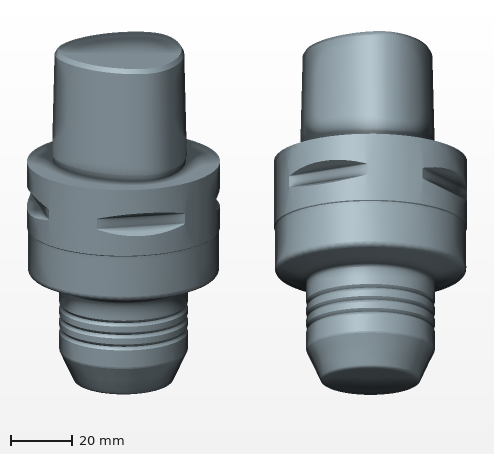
import cadquery as cq
import math

TOTAL_HEIGHT = 113.0
FLANGE_TOP = 75.0
FLANGE_BOTTOM = 52.2

FLANGE_RADIUS = 63.0 / 2
FLANGE_CHAMFER = 0.3
BODY_RADIUS = 62.5 / 2
SHOULDER_ANGLE = math.radians(20)
SHOULDER_FOOT = 33.6
SHOULDER_FILLET = 1.8

NECK_RADIUS = 42.0 / 2
NECK_FILLET = 0.9
NOSE_TOP = 10.7
NOSE_END_RADIUS = 16.0
NOSE_TOP_FILLET = 1.4
NOSE_END_FILLET = 1.5
GROOVE_COUNT = 3
GROOVE_TOP_CENTER = 26.0
GROOVE_PITCH = 4.1
GROOVE_WIDTH = 2.0
GROOVE_DEPTH = 0.8

NOTCH_COUNT = 4
NOTCH_START_ANGLE = 45
NOTCH_CENTER = 63.0
NOTCH_FLOOR_DISTANCE = 27.9
NOTCH_FLOOR_WIDTH = 3.6
NOTCH_FILLET = 0.5
NOTCH_WALL_ANGLE = math.radians(30)

SHANK_BASE_RADIUS = 22.0
SHANK_ECCENTRICITY = 1.4
SHANK_TAPER = 1 / 20
SHANK_LOBES = 3
RELIEF_HEIGHT = 2.0
RELIEF_DEPTH = 0.3
TIP_CHAMFER_WIDTH = 0.9
TIP_CHAMFER_HEIGHT = 1.5
CURVE_POINTS = 48

RIM_TOLERANCE = 0.1


def turned_body():
    """Flange, body, neck and nose, revolved about Z."""
    shoulder_drop = (BODY_RADIUS - NECK_RADIUS) * math.tan(SHOULDER_ANGLE)
    shoulder_rim = SHOULDER_FOOT + shoulder_drop
    body = (
        cq.Workplane("XZ")
        .moveTo(0, 0)
        .lineTo(NOSE_END_RADIUS, 0)
        .lineTo(NECK_RADIUS, NOSE_TOP)
        .lineTo(NECK_RADIUS, SHOULDER_FOOT)
        .lineTo(BODY_RADIUS, shoulder_rim)
        .lineTo(BODY_RADIUS, FLANGE_BOTTOM)
        .lineTo(FLANGE_RADIUS - FLANGE_CHAMFER, FLANGE_BOTTOM)
        .lineTo(FLANGE_RADIUS, FLANGE_BOTTOM + FLANGE_CHAMFER)
        .lineTo(FLANGE_RADIUS, FLANGE_TOP)
        .lineTo(0, FLANGE_TOP)
        .close()
        .revolve(360, (0, 0, 0), (0, 1, 0))
    )
    rounded_rims = (
        (NECK_RADIUS, NOSE_TOP, NOSE_TOP_FILLET),
        (NOSE_END_RADIUS, 0, NOSE_END_FILLET),
        (BODY_RADIUS, shoulder_rim, SHOULDER_FILLET),
        (NECK_RADIUS, SHOULDER_FOOT, NECK_FILLET),
    )
    for radius, height, fillet in rounded_rims:
        rim = cq.selectors.BoxSelector(
            (-radius, -radius, height - RIM_TOLERANCE),
            (radius, radius, height + RIM_TOLERANCE),
        )
        body = body.edges(rim).fillet(fillet)
    return body


def neck_groove(center):
    """V-shaped ring that cuts a groove into the neck at the given height."""
    half_width = GROOVE_WIDTH / 2
    return (
        cq.Workplane("XZ")
        .moveTo(NECK_RADIUS, center + half_width)
        .lineTo(NECK_RADIUS - GROOVE_DEPTH, center)
        .lineTo(NECK_RADIUS, center - half_width)
        .lineTo(BODY_RADIUS, center - half_width)
        .lineTo(BODY_RADIUS, center + half_width)
        .close()
        .revolve(360, (0, 0, 0), (0, 1, 0))
    )


def gripper_notch(angle):
    """Flat-floored notch with sloped walls, running tangent to the flange."""
    floor_half = NOTCH_FLOOR_WIDTH / 2
    depth = FLANGE_RADIUS - NOTCH_FLOOR_DISTANCE
    mouth_half = floor_half + depth * math.tan(NOTCH_WALL_ANGLE)
    return (
        cq.Workplane("XZ")
        .moveTo(NOTCH_FLOOR_DISTANCE, NOTCH_CENTER - floor_half)
        .lineTo(FLANGE_RADIUS, NOTCH_CENTER - mouth_half)
        .lineTo(FLANGE_RADIUS, NOTCH_CENTER + mouth_half)
        .lineTo(NOTCH_FLOOR_DISTANCE, NOTCH_CENTER + floor_half)
        .close()
        .extrude(FLANGE_RADIUS, both=True)
        .faces("<X")
        .edges("|Y")
        .fillet(NOTCH_FILLET)
        .rotate((0, 0, 0), (0, 0, 1), angle)
    )


def lobed_point(radius, t):
    """Point on a constant-width lobed curve with one lobe toward +Y."""
    normal = radius + SHANK_ECCENTRICITY * math.cos(SHANK_LOBES * t)
    tangent = -SHANK_LOBES * SHANK_ECCENTRICITY * math.sin(SHANK_LOBES * t)
    x = -normal * math.sin(t) - tangent * math.cos(t)
    y = normal * math.cos(t) - tangent * math.sin(t)
    return (x, y)


def lobed_section(radius, height):
    """Closed smooth outline of the shank at the given height."""
    points = [lobed_point(radius, 2 * math.pi * i / CURVE_POINTS) for i in range(CURVE_POINTS)]
    outline = cq.Workplane("XY", origin=(0, 0, height)).spline(points, periodic=True)
    return cq.Wire.assembleEdges(outline.vals())


def shank_stage(low_radius, low, high_radius, high):
    """Straight-sided length of the shank between two lobed sections."""
    sections = [lobed_section(low_radius, low), lobed_section(high_radius, high)]
    return cq.Workplane(cq.Solid.makeLoft(sections, True))


def shank():
    """Relieved foot, tapered shank and chamfered tip."""
    taper_start = FLANGE_TOP + RELIEF_HEIGHT
    taper_end = TOTAL_HEIGHT - TIP_CHAMFER_HEIGHT
    relief_radius = SHANK_BASE_RADIUS - RELIEF_DEPTH
    end_radius = SHANK_BASE_RADIUS - (taper_end - taper_start) * SHANK_TAPER / 2
    tip_radius = end_radius - TIP_CHAMFER_WIDTH
    foot = shank_stage(relief_radius, FLANGE_TOP, relief_radius, taper_start)
    taper = shank_stage(SHANK_BASE_RADIUS, taper_start, end_radius, taper_end)
    tip = shank_stage(end_radius, taper_end, tip_radius, TOTAL_HEIGHT)
    return foot.union(taper).union(tip)


result = turned_body()
for groove in range(GROOVE_COUNT):
    result = result.cut(neck_groove(GROOVE_TOP_CENTER - groove * GROOVE_PITCH))
for notch in range(NOTCH_COUNT):
    result = result.cut(gripper_notch(NOTCH_START_ANGLE + notch * 360 / NOTCH_COUNT))
result = result.union(shank())